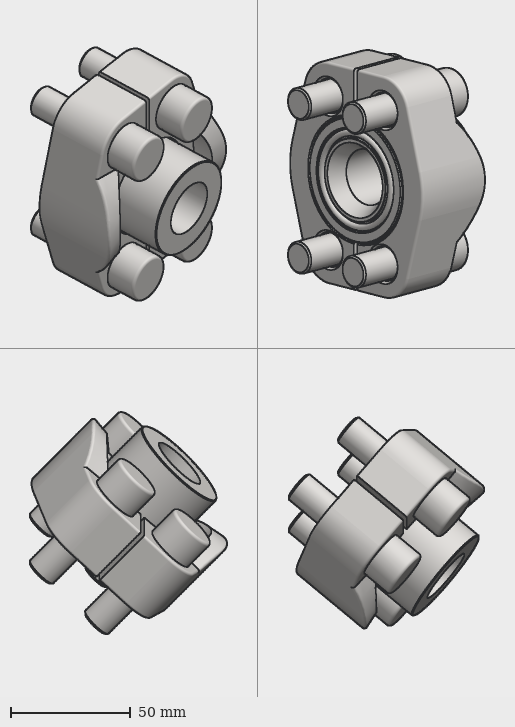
import cadquery as cq
import math


SCREW_Y = 15.9
SCREW_Z = 33.3

CLAMP_HALF_HEIGHT = 48.0
CLAMP_HALF_WIDTH = 39.0
CLAMP_THICKNESS = 27.2
CORNER_RADIUS = CLAMP_HALF_HEIGHT - SCREW_Z
SPLIT_GAP = 2.0
EDGE_FILLET = 1.2
OUTLINE_MIN_RADIUS = 38.4

WING_REACH = 38.4
WING_SLOPE = 7.8
WING_CLEARANCE_RADIUS = 30.2

SCREW_HOLE_DIAMETER = 15.0
SCREW_HOLE_CHAMFER = 1.1
HUB_BORE_DIAMETER = 44.7
RECESS_DIAMETER = 54.5
RECESS_CHAMFER = 0.6

HUB_END_X = 49.5
HUB_DIAMETER = 43.5
HUB_END_CHAMFER = 0.4
FLANGE_DIAMETER = 54.0
FLANGE_FRONT_X = -0.4
FLANGE_BACK_X = 10.0
FLANGE_FRONT_CHAMFER = 0.6
FLANGE_BACK_CHAMFER = 0.7
NECK_FILLET = 0.6
BORE_DIAMETER = 24.0
MOUTH_DIAMETER = 31.7
MOUTH_CHAMFER = 0.3
TAPER_END_X = 6.7

GROOVE_OUTER_DIAMETER = 44.7
GROOVE_INNER_DIAMETER = 35.8
RING_THICKNESS = 3.0
RING_MEAN_RADIUS = 20.3
RING_PROTRUSION = 0.6
GROOVE_LIP_CHAMFER = 0.2
GROOVE_DEPTH = RING_THICKNESS - RING_PROTRUSION

SHANK_DIAMETER = 13.7
SHANK_TIP_X = -18.0
SHANK_CHAMFER = 0.8
HEAD_DIAMETER = 21.0
HEAD_LENGTH = 13.8
HEAD_FILLET = 1.3

REACH = 2 * CLAMP_HALF_HEIGHT

SCREW_POINTS = [(y, z) for y in (-SCREW_Y, SCREW_Y) for z in (-SCREW_Z, SCREW_Z)]


def cylinder_x(diameter, start_x, end_x):
    """Cylinder on the X axis between two X positions."""
    return cq.Workplane("YZ", origin=(start_x, 0, 0)).circle(diameter / 2).extrude(end_x - start_x)


def cone_mouth(diameter, chamfer):
    """45-degree countersink at x = 0 for a round hole on the X axis."""
    radius = diameter / 2
    return cq.Workplane(cq.Solid.makeCone(radius + chamfer, radius, chamfer, dir=cq.Vector(1, 0, 0)))


def clamp_outline():
    """Outline of both halves: a round waist with straight flanks to the round corners."""
    corner_distance = math.hypot(SCREW_Y, SCREW_Z)
    flank_angle = math.atan2(SCREW_Z, SCREW_Y) - math.acos(
        (CLAMP_HALF_WIDTH - CORNER_RADIUS) / corner_distance
    )
    corner_middle_angle = (flank_angle + math.pi / 2) / 2

    def on_corner(angle, side_y, side_z):
        y = SCREW_Y + CORNER_RADIUS * math.cos(angle)
        z = SCREW_Z + CORNER_RADIUS * math.sin(angle)
        return (side_y * y, side_z * z)

    waist_y = CLAMP_HALF_WIDTH * math.cos(flank_angle)
    waist_z = CLAMP_HALF_WIDTH * math.sin(flank_angle)
    return (
        cq.Workplane("YZ")
        .moveTo(-SCREW_Y, CLAMP_HALF_HEIGHT)
        .lineTo(SCREW_Y, CLAMP_HALF_HEIGHT)
        .threePointArc(on_corner(corner_middle_angle, 1, 1), on_corner(flank_angle, 1, 1))
        .lineTo(waist_y, waist_z)
        .threePointArc((CLAMP_HALF_WIDTH, 0), (waist_y, -waist_z))
        .lineTo(*on_corner(flank_angle, 1, -1))
        .threePointArc(on_corner(corner_middle_angle, 1, -1), (SCREW_Y, -CLAMP_HALF_HEIGHT))
        .lineTo(-SCREW_Y, -CLAMP_HALF_HEIGHT)
        .threePointArc(on_corner(corner_middle_angle, -1, -1), on_corner(flank_angle, -1, -1))
        .lineTo(-waist_y, -waist_z)
        .threePointArc((-CLAMP_HALF_WIDTH, 0), (-waist_y, waist_z))
        .lineTo(*on_corner(flank_angle, -1, 1))
        .threePointArc(on_corner(corner_middle_angle, -1, 1), (-SCREW_Y, CLAMP_HALF_HEIGHT))
        .close()
    )


def wing_cones():
    """Two cones about Y, joined at their narrow ends and widest at the clamp sides."""
    waist_radius = WING_REACH - CLAMP_HALF_WIDTH * math.tan(math.radians(WING_SLOPE))
    return (
        cq.Workplane("XY")
        .moveTo(0, -CLAMP_HALF_WIDTH)
        .lineTo(WING_REACH, -CLAMP_HALF_WIDTH)
        .lineTo(waist_radius, 0)
        .lineTo(WING_REACH, CLAMP_HALF_WIDTH)
        .lineTo(0, CLAMP_HALF_WIDTH)
        .close()
        .revolve(360, (0, 0, 0), (0, 1, 0))
    )


def is_on_outline(edge):
    """Whether an edge runs round the outside of the clamp, not across its back."""
    middle = edge.positionAt(0.5)
    return math.hypot(middle.y, middle.z) > OUTLINE_MIN_RADIUS


def make_clamp_pair():
    """Both clamp halves before the split, with rounded outer edges and no holes."""
    wings = clamp_outline().extrude(REACH).intersect(wing_cones())
    body = clamp_outline().extrude(CLAMP_THICKNESS).union(wings)
    outer_edges = body.edges("not |X").filter(is_on_outline)
    body = outer_edges.fillet(EDGE_FILLET)
    return body.cut(cylinder_x(2 * WING_CLEARANCE_RADIUS, CLAMP_THICKNESS, REACH))


def cut_clamp_holes(body):
    """Bore for the hub, recess for its flange and chamfered screw holes."""
    body = body.cut(cylinder_x(HUB_BORE_DIAMETER, 0, CLAMP_THICKNESS))
    recess = cylinder_x(RECESS_DIAMETER, 0, FLANGE_BACK_X)
    recess_mouth = cone_mouth(RECESS_DIAMETER, RECESS_CHAMFER)
    body = body.cut(recess).cut(recess_mouth)
    screw_hole = cylinder_x(SCREW_HOLE_DIAMETER, 0, CLAMP_THICKNESS).union(
        cone_mouth(SCREW_HOLE_DIAMETER, SCREW_HOLE_CHAMFER)
    )
    for y, z in SCREW_POINTS:
        body = body.cut(screw_hole.translate((0, y, z)))
    return body


def make_clamp_half(pair, side):
    """The half of the clamp on the +Y (side = 1) or -Y (side = -1) side of the gap."""
    half_space = cq.Workplane("XY").box(2 * REACH, REACH, 2 * REACH)
    return pair.intersect(half_space.translate((0, side * (REACH + SPLIT_GAP) / 2, 0)))


def o_ring_groove():
    """Square face groove whose two lips are broken by small chamfers."""
    inner = GROOVE_INNER_DIAMETER / 2
    outer = GROOVE_OUTER_DIAMETER / 2
    lip_x = FLANGE_FRONT_X + GROOVE_LIP_CHAMFER
    floor_x = FLANGE_FRONT_X + GROOVE_DEPTH
    return (
        cq.Workplane("XY")
        .moveTo(FLANGE_FRONT_X, inner - GROOVE_LIP_CHAMFER)
        .lineTo(lip_x, inner)
        .lineTo(floor_x, inner)
        .lineTo(floor_x, outer)
        .lineTo(lip_x, outer)
        .lineTo(FLANGE_FRONT_X, outer + GROOVE_LIP_CHAMFER)
        .close()
        .revolve(360, (0, 0, 0), (1, 0, 0))
    )


def is_hub_neck(edge):
    """Whether a circular edge is the corner between the tube and the flange back."""
    at_flange_back = math.isclose(edge.Center().x, FLANGE_BACK_X)
    return at_flange_back and math.isclose(edge.radius(), HUB_DIAMETER / 2)


def make_hub():
    """Tube with a front flange, a tapered bore and an O-ring groove."""
    flange = cylinder_x(FLANGE_DIAMETER, FLANGE_FRONT_X, FLANGE_BACK_X)
    flange = flange.faces("<X").edges().chamfer(FLANGE_FRONT_CHAMFER)
    flange = flange.faces(">X").edges().chamfer(FLANGE_BACK_CHAMFER)
    tube = cylinder_x(HUB_DIAMETER, FLANGE_FRONT_X, HUB_END_X)
    tube = tube.faces(">X").edges().chamfer(HUB_END_CHAMFER)
    hub = flange.union(tube)
    hub = hub.edges("%CIRCLE").filter(is_hub_neck).fillet(NECK_FILLET)

    mouth_radius = MOUTH_DIAMETER / 2
    bore_radius = BORE_DIAMETER / 2
    bore = (
        cq.Workplane("XY")
        .moveTo(FLANGE_FRONT_X, 0)
        .lineTo(FLANGE_FRONT_X, mouth_radius + MOUTH_CHAMFER)
        .lineTo(FLANGE_FRONT_X + MOUTH_CHAMFER, mouth_radius)
        .lineTo(TAPER_END_X, bore_radius)
        .lineTo(HUB_END_X, bore_radius)
        .lineTo(HUB_END_X, 0)
        .close()
        .revolve(360, (0, 0, 0), (1, 0, 0))
    )
    return hub.cut(bore).cut(o_ring_groove())


def make_o_ring():
    """Round ring resting on the groove floor and standing proud of the flange."""
    middle_x = FLANGE_FRONT_X - RING_PROTRUSION + RING_THICKNESS / 2
    return (
        cq.Workplane("XY")
        .center(middle_x, RING_MEAN_RADIUS)
        .circle(RING_THICKNESS / 2)
        .revolve(360, (0, -RING_MEAN_RADIUS, 0), (1, -RING_MEAN_RADIUS, 0))
    )


def make_screw(y, z):
    """Cap screw along X with its head against the back of the clamp."""
    shank = cylinder_x(SHANK_DIAMETER, SHANK_TIP_X, CLAMP_THICKNESS)
    shank = shank.faces("<X").edges().chamfer(SHANK_CHAMFER)
    head = cylinder_x(HEAD_DIAMETER, CLAMP_THICKNESS, CLAMP_THICKNESS + HEAD_LENGTH)
    head = head.faces(">X").edges().fillet(HEAD_FILLET)
    return shank.union(head).translate((0, y, z))


clamp_pair = cut_clamp_holes(make_clamp_pair())
clamp_halves = [make_clamp_half(clamp_pair, side) for side in (-1, 1)]
hub = make_hub()
o_ring = make_o_ring()
screws = [make_screw(y, z) for y, z in SCREW_POINTS]

result = cq.Compound.makeCompound(
    [
        *[half.val() for half in clamp_halves],
        hub.val(),
        o_ring.val(),
        *[screw.val() for screw in screws],
    ]
)